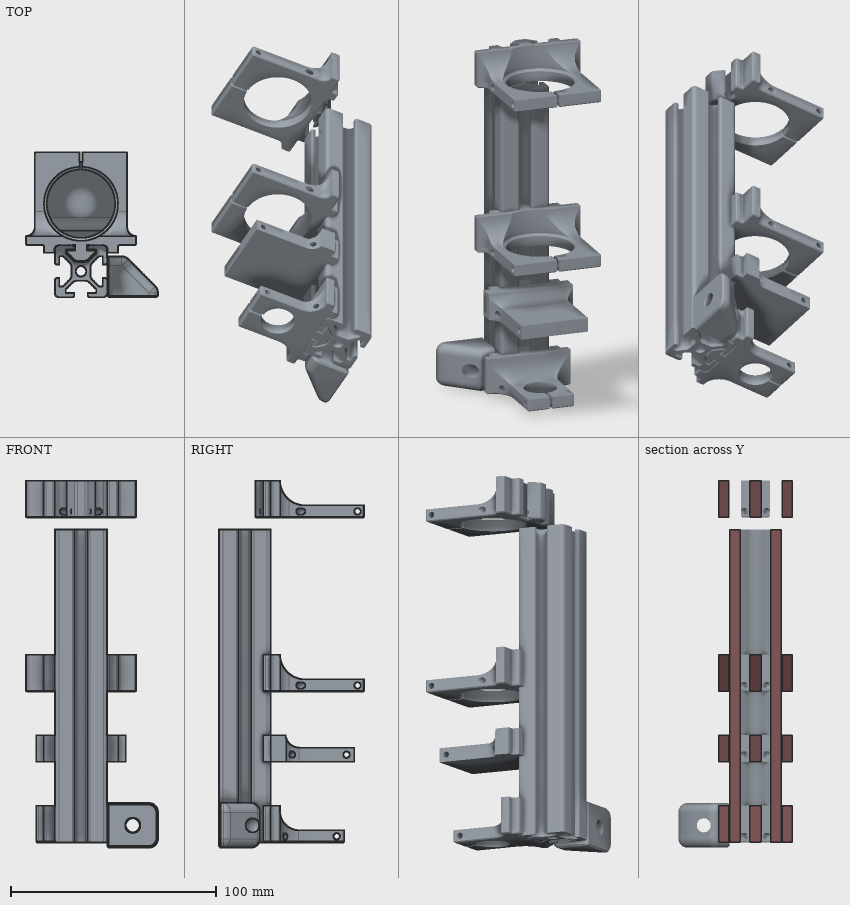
import cadquery as cq
import math


RAIL_WIDTH = 25.4
RAIL_HALF = RAIL_WIDTH / 2
RAIL_LENGTH = 152.4
RAIL_CORNER_RADIUS = 2.0
RAIL_BORE_DIAMETER = 5.0
SLOT_OPENING_HALF = 3.2
SLOT_CAVITY_HALF = 7.3
SLOT_LIP_THICKNESS = 2.1
SLOT_LIP_RADIUS = 1.0
SLOT_FLOOR = 4.6
SLOT_FLOOR_HALF = 3.2
SLOT_FLOOR_RADIUS = 3.0

FLANGE_THICKNESS = 4.5
BLOCK_HALF = 18.0
BLOCK_DROP = 3.8
SLOT_CLEARANCE = 0.4
NOTCH_HALF = RAIL_HALF + 0.2
NOTCH_RADIUS = 2.1
TONGUE_TIP_HALF = 2.7
TONGUE_TIP_RADIUS = 2.1
FOOT_EDGE_RADIUS = 0.9
ARM_EDGE_RADIUS = 0.9
BOTTOM_CHAMFER = 0.5

BORE_CENTER_Y = 32.9
SLIT_WIDTH = 1.5
SCREW_DIAMETER = 3.0
TIE_HOLE_DIAMETER = 3.2
TIE_HOLE_OFFSET = 4.6

RING_HEIGHT = 18.0
RING_ARM_THICKNESS = 6.0
LARGE_FOOT_HALF = 26.8
LARGE_ARM_HALF = 22.5
LARGE_ARM_END = 58.0
LARGE_SIDE_RADIUS = LARGE_FOOT_HALF - LARGE_ARM_HALF
LARGE_SCREW_Y = 54.8
LARGE_BORE_RADIUS = 16.6
LARGE_RIM_RADIUS = 18.0
LARGE_RIM_DEPTH = 1.0
LARGE_MOUNT_TOPS = (176.1, 91.5)

SMALL_FOOT_HALF = 21.8
SMALL_ARM_HALF = 12.1
SMALL_ARM_END = 48.5
SMALL_SIDE_RADIUS = 8.8
SMALL_BACK_CORNER_RADIUS = 0.7
SMALL_RISE_RADIUS = 9.1
SMALL_SCREW_Y = 44.7
SMALL_BORE_RADIUS = 8.2

SHELF_Z = 39.3
SHELF_HEIGHT = 13.0
SHELF_ARM_THICKNESS = 7.0
SHELF_FOOT_BACK = 19.8
SHELF_ARM_HALF = 17.3
SHELF_ARM_END = 53.2
SHELF_SIDE_RADIUS = 6.5
SHELF_SCREW_Y = 49.5

BRACKET_RIGHT = 37.5
BRACKET_BOTTOM = -2.5
BRACKET_TOP = 19.3
BRACKET_BACK = 7.3
BRACKET_BACK_RIGHT = 21.6
BRACKET_EDGE_RADIUS = 4.5
BRACKET_CORNER_RADIUS = 4.6
BRACKET_CHAMFER = 0.9
BRACKET_HOLE_DIAMETER = 6.8
BRACKET_HOLE_CHAMFER = 0.4
BRACKET_HOLE_X = 25.2

FOOT_BACK = RAIL_HALF + FLANGE_THICKNESS
SMALLEST_EDGE = 0.02
FAR = 178.6


def mirrored_edges(body, x, y):
    """Vertical edges of the body at (x, y) and (-x, y)."""
    tolerance = 0.02
    boxes = [
        cq.selectors.BoxSelector(
            (side * x - tolerance, y - tolerance, -FAR),
            (side * x + tolerance, y + tolerance, FAR),
        )
        for side in (-1, 1)
    ]
    return body.edges("|Z").edges(boxes[0] + boxes[1])


def make_rail():
    rail = cq.Workplane("XY").rect(RAIL_WIDTH, RAIL_WIDTH).extrude(RAIL_LENGTH)
    rail = rail.edges("|Z").fillet(RAIL_CORNER_RADIUS)
    cavity_top = RAIL_HALF - SLOT_LIP_THICKNESS
    cavity_side_start = SLOT_FLOOR + SLOT_CAVITY_HALF - SLOT_FLOOR_HALF
    cavity = (
        cq.Workplane("XY")
        .polyline([
            (-SLOT_FLOOR_HALF, SLOT_FLOOR),
            (SLOT_FLOOR_HALF, SLOT_FLOOR),
            (SLOT_CAVITY_HALF, cavity_side_start),
            (SLOT_CAVITY_HALF, cavity_top),
            (-SLOT_CAVITY_HALF, cavity_top),
            (-SLOT_CAVITY_HALF, cavity_side_start),
        ])
        .close()
        .extrude(RAIL_LENGTH)
    )
    cavity = mirrored_edges(cavity, SLOT_FLOOR_HALF, SLOT_FLOOR).fillet(SLOT_FLOOR_RADIUS)
    lip_start = RAIL_HALF - SLOT_LIP_RADIUS
    lip_middle_x = SLOT_OPENING_HALF + SLOT_LIP_RADIUS * (1 - math.sqrt(0.5))
    lip_middle_y = lip_start + SLOT_LIP_RADIUS * math.sqrt(0.5)
    lip_end_x = SLOT_OPENING_HALF + SLOT_LIP_RADIUS
    opening = (
        cq.Workplane("XY")
        .moveTo(-SLOT_OPENING_HALF, cavity_side_start)
        .lineTo(SLOT_OPENING_HALF, cavity_side_start)
        .lineTo(SLOT_OPENING_HALF, lip_start)
        .threePointArc((lip_middle_x, lip_middle_y), (lip_end_x, RAIL_HALF))
        .lineTo(-lip_end_x, RAIL_HALF)
        .threePointArc((-lip_middle_x, lip_middle_y), (-SLOT_OPENING_HALF, lip_start))
        .close()
        .extrude(RAIL_LENGTH)
    )
    for quarter in range(4):
        for cutter in (cavity, opening):
            rail = rail.cut(cutter.rotate((0, 0, 0), (0, 0, 1), 90 * quarter))
    return rail.faces(">Z").workplane().hole(RAIL_BORE_DIAMETER)


def mount_body(height, arm_thickness, foot_half, foot_back, arm_half, arm_end, side_radius, rise_radius):
    """Foot and arm of a mount standing on Z = 0; arcs blend the arm into the foot."""
    block_bottom = RAIL_HALF - BLOCK_DROP
    tongue_half = SLOT_CAVITY_HALF - SLOT_CLEARANCE
    tongue_tip = SLOT_FLOOR + SLOT_CLEARANCE
    tongue_shoulder = RAIL_HALF - SLOT_LIP_THICKNESS - SLOT_CLEARANCE
    neck_half = SLOT_OPENING_HALF - SLOT_CLEARANCE

    arc_x = arm_half + side_radius
    arc_y = foot_back + side_radius
    end_angle = math.acos(max(0.0, arc_x - foot_half) / side_radius)

    def arc_point(angle):
        return (arc_x - side_radius * math.cos(angle), arc_y - side_radius * math.sin(angle))

    arc_end = arc_point(end_angle)
    outline = (
        cq.Workplane("XY")
        .moveTo(0, tongue_tip)
        .lineTo(TONGUE_TIP_HALF, tongue_tip)
        .lineTo(tongue_half, tongue_tip + tongue_half - TONGUE_TIP_HALF)
        .lineTo(tongue_half, tongue_shoulder)
        .lineTo(neck_half, tongue_shoulder)
        .lineTo(neck_half, RAIL_HALF)
        .lineTo(NOTCH_HALF, RAIL_HALF)
        .lineTo(NOTCH_HALF, block_bottom)
        .lineTo(BLOCK_HALF, block_bottom)
        .lineTo(BLOCK_HALF, RAIL_HALF)
        .lineTo(foot_half, RAIL_HALF)
        .lineTo(foot_half, arc_end[1])
    )
    if foot_half - arc_end[0] > SMALLEST_EDGE:
        outline = outline.lineTo(*arc_end)
    body = (
        outline.threePointArc(arc_point(end_angle / 2), (arm_half, arc_y))
        .lineTo(arm_half, arm_end)
        .lineTo(0, arm_end)
        .mirrorY()
        .extrude(height)
    )
    body = mirrored_edges(body, TONGUE_TIP_HALF, tongue_tip).fillet(TONGUE_TIP_RADIUS)

    rise_y = foot_back + rise_radius
    rise_z = arm_thickness + rise_radius
    diagonal = rise_radius * math.sqrt(0.5)
    above_arm = (
        cq.Workplane("YZ")
        .moveTo(arm_end, arm_thickness)
        .lineTo(rise_y, arm_thickness)
        .threePointArc((rise_y - diagonal, rise_z - diagonal), (foot_back, rise_z))
        .lineTo(foot_back, height + rise_radius)
        .lineTo(arm_end, height + rise_radius)
        .close()
        .extrude(foot_half, both=True)
    )
    return body.cut(above_arm)


def round_ring_mount(body, foot_half, arm_half, arm_end):
    """Round the upright edges of a ring mount and chamfer its bottom outline."""
    block_bottom = RAIL_HALF - BLOCK_DROP
    for x, y, radius in (
        (NOTCH_HALF, RAIL_HALF, NOTCH_RADIUS),
        (NOTCH_HALF, block_bottom, FOOT_EDGE_RADIUS),
        (BLOCK_HALF, block_bottom, FOOT_EDGE_RADIUS),
        (BLOCK_HALF, RAIL_HALF, FOOT_EDGE_RADIUS),
        (foot_half, RAIL_HALF, FOOT_EDGE_RADIUS),
        (arm_half, arm_end, ARM_EDGE_RADIUS),
    ):
        body = mirrored_edges(body, x, y).fillet(radius)
    return body.faces("<Z").edges().chamfer(BOTTOM_CHAMFER)


def drill_mount(body, arm_thickness, screw_y):
    """Drill the clamp screw hole and the two 45 degree tie holes at mid arm thickness."""
    middle = arm_thickness / 2
    screw = cq.Solid.makeCylinder(
        SCREW_DIAMETER / 2, FAR, cq.Vector(-FAR / 2, screw_y, middle), cq.Vector(1, 0, 0)
    )
    body = body.cut(cq.Workplane(screw))
    start_x = SLOT_CAVITY_HALF - SLOT_CLEARANCE - TIE_HOLE_DIAMETER
    for side in (-1, 1):
        tie = cq.Solid.makeCylinder(
            TIE_HOLE_DIAMETER / 2, FAR, cq.Vector(side * start_x, TIE_HOLE_OFFSET + start_x, middle),
            cq.Vector(side, 1, 0),
        )
        body = body.cut(cq.Workplane(tie))
    return body


def cut_ring(body, bore_radius, arm_end, height):
    """Cut the ring bore and the slit that lets it clamp."""
    bore = cq.Workplane("XY").center(0, BORE_CENTER_Y).circle(bore_radius).extrude(height)
    slit_length = arm_end - BORE_CENTER_Y
    slit = cq.Workplane("XY").box(SLIT_WIDTH, slit_length, height, centered=(True, False, False))
    return body.cut(bore).cut(slit.translate((0, BORE_CENTER_Y, 0)))


def make_large_mount():
    body = mount_body(
        RING_HEIGHT, RING_ARM_THICKNESS, LARGE_FOOT_HALF, FOOT_BACK, LARGE_ARM_HALF, LARGE_ARM_END,
        LARGE_SIDE_RADIUS, RING_HEIGHT - RING_ARM_THICKNESS,
    )
    body = round_ring_mount(body, LARGE_FOOT_HALF, LARGE_ARM_HALF, LARGE_ARM_END)
    body = cut_ring(body, LARGE_BORE_RADIUS, LARGE_ARM_END, RING_HEIGHT)
    rim_cone = cq.Solid.makeCone(
        LARGE_BORE_RADIUS, LARGE_RIM_RADIUS, LARGE_RIM_DEPTH,
        cq.Vector(0, BORE_CENTER_Y, RING_ARM_THICKNESS - LARGE_RIM_DEPTH),
    )
    rim_clearance = cq.Solid.makeCylinder(
        LARGE_RIM_RADIUS, RING_HEIGHT, cq.Vector(0, BORE_CENTER_Y, RING_ARM_THICKNESS)
    )
    body = body.cut(cq.Workplane(rim_cone)).cut(cq.Workplane(rim_clearance))
    return drill_mount(body, RING_ARM_THICKNESS, LARGE_SCREW_Y)


def make_small_mount():
    body = mount_body(
        RING_HEIGHT, RING_ARM_THICKNESS, SMALL_FOOT_HALF, FOOT_BACK, SMALL_ARM_HALF, SMALL_ARM_END,
        SMALL_SIDE_RADIUS, SMALL_RISE_RADIUS,
    )
    body = mirrored_edges(body, SMALL_FOOT_HALF, FOOT_BACK).fillet(SMALL_BACK_CORNER_RADIUS)
    body = round_ring_mount(body, SMALL_FOOT_HALF, SMALL_ARM_HALF, SMALL_ARM_END)
    body = cut_ring(body, SMALL_BORE_RADIUS, SMALL_ARM_END, RING_HEIGHT)
    return drill_mount(body, RING_ARM_THICKNESS, SMALL_SCREW_Y)


def make_shelf_mount():
    body = mount_body(
        SHELF_HEIGHT, SHELF_ARM_THICKNESS, SMALL_FOOT_HALF, SHELF_FOOT_BACK, SHELF_ARM_HALF, SHELF_ARM_END,
        SHELF_SIDE_RADIUS, SHELF_SIDE_RADIUS,
    )
    return drill_mount(body, SHELF_ARM_THICKNESS, SHELF_SCREW_Y)


def make_bracket():
    slope_drop = BRACKET_RIGHT - BRACKET_BACK_RIGHT
    bracket = (
        cq.Workplane("XY", origin=(0, 0, BRACKET_BOTTOM))
        .polyline([
            (RAIL_HALF, -RAIL_HALF),
            (BRACKET_RIGHT, -RAIL_HALF),
            (BRACKET_RIGHT, BRACKET_BACK - slope_drop),
            (BRACKET_BACK_RIGHT, BRACKET_BACK),
            (RAIL_HALF, BRACKET_BACK),
        ])
        .close()
        .extrude(BRACKET_TOP - BRACKET_BOTTOM)
    )
    slope_corners = bracket.faces(">(1,1,0)").edges("|Z")
    bracket = slope_corners.fillet(BRACKET_CORNER_RADIUS)
    bracket = bracket.faces(">X").edges("#Z").fillet(BRACKET_EDGE_RADIUS)
    bracket = bracket.faces("<Y").edges().chamfer(BRACKET_CHAMFER)
    bracket = bracket.faces("<X").edges().chamfer(BRACKET_CHAMFER)
    middle = (BRACKET_TOP + BRACKET_BOTTOM) / 2
    hole_center = cq.Vector(BRACKET_HOLE_X, -RAIL_HALF, middle)
    radius = BRACKET_HOLE_DIAMETER / 2
    hole = cq.Solid.makeCylinder(radius, FAR, hole_center, cq.Vector(0, 1, 0))
    countersink = cq.Solid.makeCone(
        radius + BRACKET_HOLE_CHAMFER, radius, BRACKET_HOLE_CHAMFER, hole_center, cq.Vector(0, 1, 0)
    )
    return bracket.cut(cq.Workplane(hole)).cut(cq.Workplane(countersink))


rail = make_rail()
large_mounts = [
    make_large_mount().translate((0, 0, top - RING_HEIGHT)) for top in LARGE_MOUNT_TOPS
]
small_mount = make_small_mount()
shelf_mount = make_shelf_mount().translate((0, 0, SHELF_Z))
bracket = make_bracket()

result = cq.Compound.makeCompound([
    rail.val(),
    *[mount.val() for mount in large_mounts],
    small_mount.val(),
    shelf_mount.val(),
    bracket.val(),
])